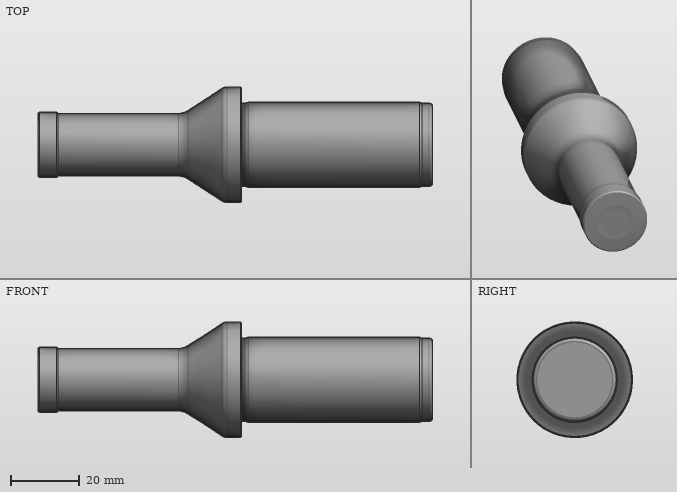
import cadquery as cq
import math

TOTAL_LENGTH = 116.0

TIP_RADIUS = 9.6
TIP_LENGTH = 5.9
TIP_RIM_CHAMFER = 0.3
DISH_FLOOR_RADIUS = 4.3
DISH_RIM_RADIUS = 5.3
DISH_DEPTH = 0.06
FACE_RELIEF = 0.1

NECK_RADIUS = 18.5 / 2
CONE_ANGLE = math.radians(33)
NECK_BLEND_START = 41.3
NECK_BLEND_RADIUS = 5.2
COLLAR_RADIUS = 34.0 / 2
COLLAR_BLEND_RADIUS = 2.5
COLLAR_BACK = 59.9
COLLAR_CHAMFER = 0.3

SHANK_RADIUS = 25.0 / 2
REDUCED_RADIUS = 24.5 / 2
RELIEF_BLEND_RADIUS = 0.2
RELIEF_LENGTH = 0.9
RELIEF_TAPER_LENGTH = 1.0
TAIL_LENGTH = 3.1
TAIL_TAPER_LENGTH = 0.7
TAIL_FILLET = 1.0


def revolve_about_x(half_profile):
    """Close a profile that starts and ends on the X axis and spin it."""
    return half_profile.close().revolve(360, (0, 0, 0), (1, 0, 0))


def arc_point(center_x, center_r, radius, angle):
    """Point on an arc, with the angle measured from +X toward the outside."""
    return (center_x + radius * math.cos(angle), center_r + radius * math.sin(angle))


def make_tip():
    """Disc with a shallow dished centre, a bevelled rim and a rear bevel down to the neck."""
    rim_start = TIP_RADIUS - TIP_RIM_CHAMFER
    rear_chamfer = TIP_RADIUS - NECK_RADIUS
    profile = (
        cq.Workplane("XY")
        .moveTo(DISH_DEPTH, 0)
        .lineTo(DISH_DEPTH, DISH_FLOOR_RADIUS)
        .lineTo(0, DISH_RIM_RADIUS)
        .lineTo(FACE_RELIEF, rim_start)
        .lineTo(FACE_RELIEF + TIP_RIM_CHAMFER, TIP_RADIUS)
        .lineTo(TIP_LENGTH - rear_chamfer, TIP_RADIUS)
        .lineTo(TIP_LENGTH, NECK_RADIUS)
        .lineTo(TIP_LENGTH, 0)
    )
    return revolve_about_x(profile)


def make_holder():
    """Neck, conical collar and shank turned as one piece behind the tip."""
    neck_center = (NECK_BLEND_START, NECK_RADIUS + NECK_BLEND_RADIUS)
    blend_start_angle = math.radians(-90)
    neck_blend_middle = arc_point(*neck_center, NECK_BLEND_RADIUS, blend_start_angle + CONE_ANGLE / 2)
    cone_start = arc_point(*neck_center, NECK_BLEND_RADIUS, blend_start_angle + CONE_ANGLE)

    collar_center_r = COLLAR_RADIUS - COLLAR_BLEND_RADIUS
    cone_end_r = collar_center_r + COLLAR_BLEND_RADIUS * math.cos(CONE_ANGLE)
    cone_end_x = cone_start[0] + (cone_end_r - cone_start[1]) / math.tan(CONE_ANGLE)
    collar_start = cone_end_x + COLLAR_BLEND_RADIUS * math.sin(CONE_ANGLE)
    collar_blend_middle = arc_point(
        collar_start, collar_center_r, COLLAR_BLEND_RADIUS, math.radians(90) + CONE_ANGLE / 2
    )

    relief_center = (COLLAR_BACK + RELIEF_BLEND_RADIUS, REDUCED_RADIUS + RELIEF_BLEND_RADIUS)
    relief_blend_middle = arc_point(*relief_center, RELIEF_BLEND_RADIUS, math.radians(225))
    relief_end = COLLAR_BACK + RELIEF_LENGTH

    tail_start = TOTAL_LENGTH - TAIL_LENGTH
    tail_center = (TOTAL_LENGTH - TAIL_FILLET, REDUCED_RADIUS - TAIL_FILLET)
    tail_fillet_middle = arc_point(*tail_center, TAIL_FILLET, math.radians(45))

    profile = (
        cq.Workplane("XY")
        .moveTo(TIP_LENGTH, 0)
        .lineTo(TIP_LENGTH, NECK_RADIUS)
        .lineTo(NECK_BLEND_START, NECK_RADIUS)
        .threePointArc(neck_blend_middle, cone_start)
        .lineTo(cone_end_x, cone_end_r)
        .threePointArc(collar_blend_middle, (collar_start, COLLAR_RADIUS))
        .lineTo(COLLAR_BACK - COLLAR_CHAMFER, COLLAR_RADIUS)
        .lineTo(COLLAR_BACK, COLLAR_RADIUS - COLLAR_CHAMFER)
        .lineTo(COLLAR_BACK, relief_center[1])
        .threePointArc(relief_blend_middle, (relief_center[0], REDUCED_RADIUS))
        .lineTo(relief_end, REDUCED_RADIUS)
        .lineTo(relief_end + RELIEF_TAPER_LENGTH, SHANK_RADIUS)
        .lineTo(tail_start - TAIL_TAPER_LENGTH, SHANK_RADIUS)
        .lineTo(tail_start, REDUCED_RADIUS)
        .lineTo(tail_center[0], REDUCED_RADIUS)
        .threePointArc(tail_fillet_middle, (TOTAL_LENGTH, tail_center[1]))
        .lineTo(TOTAL_LENGTH, 0)
    )
    return revolve_about_x(profile)


tip = make_tip()
holder = make_holder()
result = cq.Compound.makeCompound([tip.val(), holder.val()])